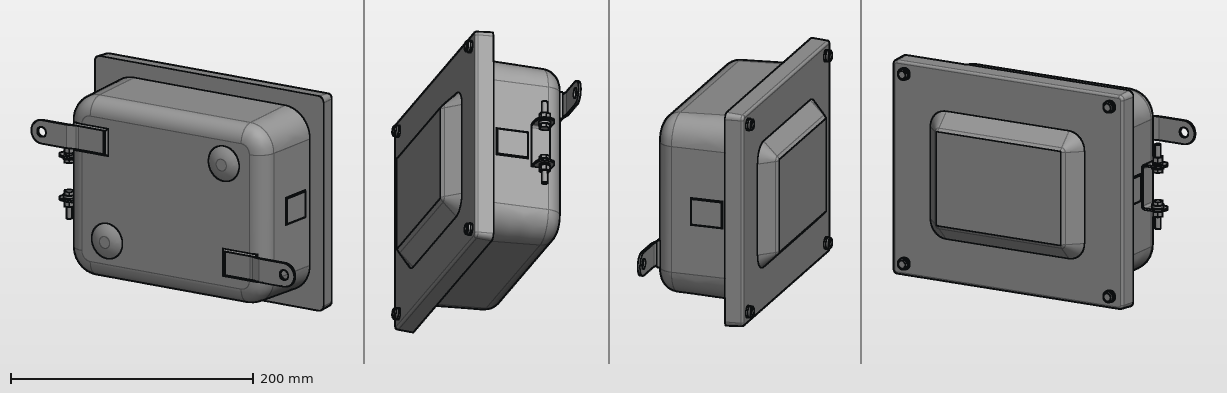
import cadquery as cq
import math


FLANGE_X = 225.3
FLANGE_Z = 185.0
FLANGE_THICK = 15.5
FLANGE_CORNER = 5.0
FLANGE_DRAFT = 3.9
FLANGE_EDGE_ROUND = 2.3

BODY_X = 198.5
BODY_Z = 158.5
BODY_DEPTH = 66.3
BODY_CORNER = 24.9
BODY_DRAFT = 2.1
BODY_FRONT_ROUND = 14.8

COVER_X = 149.7
COVER_Z = 109.3
COVER_HEIGHT = 14.0
COVER_CORNER = 15.3
COVER_SLOPE = 45.0
BEVEL_HEIGHT = 2.3
BEVEL_SLOPE = 50.0

SCREW_X = 99.7
SCREW_Z = 81.0
SCREW_HEIGHT = 4.7
SCREW_WASHER_D = 10.0
SCREW_WASHER_THICK = 1.5
SCREW_HEAD_D = 9.3
SCREW_TOP_D = 6.7
SCREW_BEVEL_HEIGHT = 1.0

DOME_X = 57.5
DOME_Z = 42.5
DOME_D = 30.3
DOME_HEIGHT = 4.1
DOME_FLAT_D = 10.0
DOME_MID_D = 21.8
DOME_MID_HEIGHT = 2.5

STRAP_TIP_X = 129.5
STRAP_INNER_X = 59.8
STRAP_Z = 42.5
STRAP_WIDTH = 20.2
STRAP_THICK = 2.0
STRAP_HOLE_D = 8.5
TIP_ROUNDING = 0.999
STRAP_OFFSET = 2.0
BEND_OUTER_X = 94.8
BEND_INNER_X = 85.7
BEND_RADIUS = 10.4
BEAD_OUTER_X = 90.0
BEAD_SIDE = 1.68
BEAD_END = 3.4
BEAD_CHAMFER = 1.5
BEAD_RECESS = 0.4
BEAD_DEPTH = 3.5

PAD_Y = -20.7
PAD_LENGTH = 28.5
PAD_WIDTH = 23.8
PAD_HEIGHT = 0.9
PAD_BEVEL = 1.0

BRACKET_Y = -45.3
BRACKET_WIDTH = 16.0
BRACKET_SPAN = 38.8
BRACKET_THICK = 1.5
BRACKET_REACH = 19.0
BRACKET_BEND = 2.0
BRACKET_SEAT = 0.3
BOLT_REACH = 10.5
BOLT_D = 5.0
BOLT_TIP_CHAMFER = 0.5
BOLT_END_Z = 36.3
HEX_CORNERS = 9.0
HEAD_THICK = 3.0
FLAT_WASHER_D = 10.0
FLAT_WASHER_THICK = 2.3
SPRING_WASHER_D = 8.5
SPRING_WASHER_THICK = 1.5
NUT_THICK = 4.5

EMBED = 1.3


def rounded_rect(size_a, size_b, corner):
    return cq.Sketch().rect(size_a, size_b).vertices().fillet(corner)


def flange():
    outline = rounded_rect(FLANGE_Z, FLANGE_X, FLANGE_CORNER)
    plate = cq.Workplane("ZX").placeSketch(outline).extrude(FLANGE_THICK, taper=FLANGE_DRAFT)
    return plate.faces(">Y").edges().fillet(FLANGE_EDGE_ROUND)


def body():
    outline = rounded_rect(BODY_X, BODY_Z, BODY_CORNER)
    box = cq.Workplane("XZ").placeSketch(outline).extrude(BODY_DEPTH, taper=BODY_DRAFT)
    return box.faces("<Y").edges().fillet(BODY_FRONT_ROUND)


def cover():
    slope_height = COVER_HEIGHT - BEVEL_HEIGHT
    inset = slope_height * math.tan(math.radians(COVER_SLOPE))
    base = rounded_rect(COVER_Z, COVER_X, COVER_CORNER)
    rim = rounded_rect(COVER_Z - 2 * inset, COVER_X - 2 * inset, COVER_CORNER - inset)
    slope = (
        cq.Workplane("ZX", origin=(0, FLANGE_THICK, 0))
        .placeSketch(base)
        .extrude(slope_height, taper=COVER_SLOPE)
    )
    bevel = (
        cq.Workplane("ZX", origin=(0, FLANGE_THICK + slope_height, 0))
        .placeSketch(rim)
        .extrude(BEVEL_HEIGHT, taper=BEVEL_SLOPE)
    )
    return slope.union(bevel)


def cover_screw(x, z):
    bevel_start = SCREW_HEIGHT - SCREW_BEVEL_HEIGHT
    profile = [
        (0, -EMBED),
        (SCREW_WASHER_D / 2, -EMBED),
        (SCREW_WASHER_D / 2, SCREW_WASHER_THICK),
        (SCREW_HEAD_D / 2, SCREW_WASHER_THICK),
        (SCREW_HEAD_D / 2, bevel_start),
        (SCREW_TOP_D / 2, SCREW_HEIGHT),
        (0, SCREW_HEIGHT),
    ]
    screw = cq.Workplane("XY").polyline(profile).close().revolve(360, (0, 0, 0), (0, 1, 0))
    return screw.translate((x, FLANGE_THICK, z))


def dome(x, z):
    profile = (
        cq.Workplane("XY")
        .moveTo(0, EMBED)
        .lineTo(DOME_D / 2, EMBED)
        .lineTo(DOME_D / 2, 0)
        .threePointArc((DOME_MID_D / 2, -DOME_MID_HEIGHT), (DOME_FLAT_D / 2, -DOME_HEIGHT))
        .lineTo(0, -DOME_HEIGHT)
        .close()
    )
    return profile.revolve(360, (0, 0, 0), (0, 1, 0)).translate((x, -BODY_DEPTH, z))


def strap():
    """Strap on the -X side with the weld bead that frames its inner end."""
    inner_y = -BODY_DEPTH - STRAP_THICK
    outer_y = inner_y - STRAP_OFFSET
    tip_radius = STRAP_WIDTH / 2
    section = [
        (-STRAP_TIP_X, outer_y),
        (-BEND_OUTER_X, outer_y),
        (-BEND_INNER_X, inner_y),
        (-STRAP_INNER_X, inner_y),
        (-STRAP_INNER_X, inner_y + STRAP_THICK + EMBED),
        (-BEND_INNER_X, inner_y + STRAP_THICK),
        (-BEND_OUTER_X, outer_y + STRAP_THICK),
        (-STRAP_TIP_X, outer_y + STRAP_THICK),
    ]
    bar = (
        cq.Workplane("XY", origin=(0, 0, STRAP_Z))
        .polyline(section)
        .close()
        .extrude(STRAP_WIDTH / 2, both=True)
        .edges("|Y and <X")
        .fillet(tip_radius * TIP_ROUNDING)
        .edges(cq.selectors.NearestToPointSelector((-BEND_INNER_X, inner_y, STRAP_Z)))
        .fillet(BEND_RADIUS)
    )
    hole = (
        cq.Workplane("XZ", origin=(tip_radius - STRAP_TIP_X, 0, STRAP_Z))
        .circle(STRAP_HOLE_D / 2)
        .extrude(2 * BODY_DEPTH)
    )
    bead_end_x = STRAP_INNER_X - BEAD_END
    bead = (
        cq.Workplane("XY")
        .box(BEAD_OUTER_X - bead_end_x, BEAD_DEPTH, STRAP_WIDTH + 2 * BEAD_SIDE)
        .translate((-(BEAD_OUTER_X + bead_end_x) / 2, inner_y + BEAD_RECESS + BEAD_DEPTH / 2, STRAP_Z))
        .edges("<Y and (|X or >X)")
        .chamfer(BEAD_CHAMFER)
    )
    return bar.cut(hole).union(bead)


def on_wall(piece):
    """Move a piece built outward (-X) from the plane X = 0 onto the drafted -X wall."""
    return piece.rotate((0, 0, 0), (0, 0, 1), BODY_DRAFT).translate((-BODY_X / 2, 0, 0))


def wall_pad():
    pad = (
        cq.Workplane("XY")
        .box(PAD_HEIGHT + EMBED, PAD_LENGTH, PAD_WIDTH)
        .translate(((EMBED - PAD_HEIGHT) / 2, PAD_Y, 0))
        .faces("<X")
        .chamfer(PAD_BEVEL)
    )
    return on_wall(pad)


def bracket_bolt():
    """Bolt through the upper bracket leg, head inward, standing on the Z axis."""
    leg_inner = BRACKET_SPAN / 2 - BRACKET_THICK
    leg_outer = BRACKET_SPAN / 2
    head_start = leg_inner - FLAT_WASHER_THICK - HEAD_THICK
    nut_start = leg_outer + SPRING_WASHER_THICK

    def stack(start):
        return cq.Workplane("XY", origin=(0, 0, start))

    bolt = stack(head_start).circle(BOLT_D / 2).extrude(BOLT_END_Z - head_start)
    bolt = bolt.faces(">Z").chamfer(BOLT_TIP_CHAMFER)
    head = stack(head_start).polygon(6, HEX_CORNERS).extrude(HEAD_THICK)
    flat_washer = stack(leg_inner - FLAT_WASHER_THICK).circle(FLAT_WASHER_D / 2).extrude(FLAT_WASHER_THICK)
    spring_washer = stack(leg_outer).circle(SPRING_WASHER_D / 2).extrude(SPRING_WASHER_THICK)
    nut = stack(nut_start).polygon(6, HEX_CORNERS).extrude(NUT_THICK)
    return bolt.union(head).union(flat_washer).union(spring_washer).union(nut)


def bracket():
    half_span = BRACKET_SPAN / 2
    half_width = BRACKET_WIDTH / 2
    bend_outer = BRACKET_BEND + BRACKET_THICK
    side_profile = (
        cq.Workplane("XY")
        .moveTo(BRACKET_SEAT, -half_width)
        .lineTo(half_width - BRACKET_REACH, -half_width)
        .threePointArc((-BRACKET_REACH, 0), (half_width - BRACKET_REACH, half_width))
        .lineTo(BRACKET_SEAT, half_width)
        .close()
    )
    block = side_profile.extrude(half_span, both=True).edges("|Y and >X").fillet(bend_outer)
    gap = (
        cq.Workplane("XY")
        .box(2 * BRACKET_REACH, 2 * BRACKET_WIDTH, BRACKET_SPAN - 2 * BRACKET_THICK)
        .translate((BRACKET_SEAT - BRACKET_THICK - BRACKET_REACH, 0, 0))
        .edges("|Y and >X")
        .fillet(BRACKET_BEND)
    )
    bolt = bracket_bolt().translate((-BOLT_REACH, 0, 0))
    channel = block.cut(gap).union(bolt).union(bolt.mirror("XY"))
    return on_wall(channel.translate((0, BRACKET_Y, 0)))


result = flange().union(body()).union(cover())

for x in (-SCREW_X, SCREW_X):
    for z in (-SCREW_Z, SCREW_Z):
        result = result.union(cover_screw(x, z))

for side in (-1, 1):
    result = result.union(dome(side * DOME_X, side * DOME_Z))

for turn in (0, 180):
    result = result.union(strap().rotate((0, 0, 0), (0, 1, 0), turn))

result = result.union(wall_pad()).union(wall_pad().mirror("YZ"))
result = result.union(bracket())